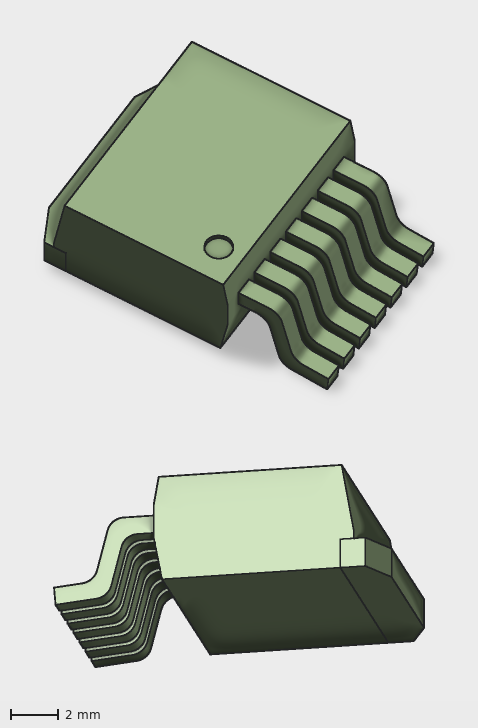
import cadquery as cq
import math


width = 10.17
overall_length = 14.38

tab_length = 1.87
tab_thickness = 1.27
tab_corner_length = 0.79
tab_corner_width = 1.65

housing_height = 4.57
housing_front_x = 1.28
housing_back_x = 9.91
front_slope_start_z = 1.55
back_wall_bottom_z = 1.9
back_wall_top_z = 3.34
front_draft = 0.53
back_top_draft = 0.22
back_bottom_draft = 0.36

mark_x = 8.48
mark_y = -3.5
mark_diameter = 1.22
mark_depth = 0.2

lead_count = 7
lead_pitch = 1.27
lead_width = 0.83
lead_thickness = 0.78
lead_top_z = 3.16
lead_bend_x = 11.94
lead_bend_radius = 0.72
shank_angle = math.radians(75.5)
foot_angle = math.radians(5)
foot_tip_z = 0.25


def make_tab():
    """Flat tab with its two outer corners cut off."""
    half_width = width / 2
    half_end = half_width - tab_corner_width
    outline = [
        (tab_length, -half_width),
        (tab_length, half_width),
        (tab_corner_length, half_width),
        (0, half_end),
        (0, -half_end),
        (tab_corner_length, -half_width),
    ]
    return cq.Workplane("XY").polyline(outline).close().extrude(tab_thickness)


def make_housing_block():
    """Drafted block, notched along its front lower edge for the tab."""
    outline = [
        (tab_length, 0),
        (housing_back_x - back_bottom_draft, 0),
        (housing_back_x, back_wall_bottom_z),
        (housing_back_x, back_wall_top_z),
        (housing_back_x - back_top_draft, housing_height),
        (housing_front_x + front_draft, housing_height),
        (housing_front_x, front_slope_start_z),
        (housing_front_x, tab_thickness),
        (tab_length, tab_thickness),
    ]
    return cq.Workplane("XZ").polyline(outline).close().extrude(width / 2, both=True)


def make_mark():
    """Cylinder to be cut from the housing top."""
    return (
        cq.Workplane("XY", origin=(mark_x, mark_y, housing_height))
        .circle(mark_diameter / 2)
        .extrude(-mark_depth)
    )


def make_lead(y):
    """Gull-wing lead of even thickness, centred at the given Y."""
    foot_line_z = foot_tip_z + (overall_length - lead_bend_x) * math.tan(foot_angle)
    foot_run = (lead_top_z - foot_line_z) / (math.tan(shank_angle) - math.tan(foot_angle))
    upper_bend = (lead_bend_x, lead_top_z)
    upper_foot_bend = (lead_bend_x + foot_run, lead_top_z - foot_run * math.tan(shank_angle))

    bend_shift = lead_thickness * math.tan(shank_angle / 2)
    lower_bend = (lead_bend_x - bend_shift, lead_top_z - lead_thickness)
    foot_bisector = (shank_angle + foot_angle) / 2
    foot_miter = lead_thickness / math.cos((shank_angle - foot_angle) / 2)
    lower_foot_bend = (
        upper_foot_bend[0] - foot_miter * math.sin(foot_bisector),
        upper_foot_bend[1] - foot_miter * math.cos(foot_bisector),
    )
    upper_tip = (overall_length, foot_tip_z)
    lower_tip = (
        overall_length - lead_thickness * math.sin(foot_angle),
        foot_tip_z - lead_thickness * math.cos(foot_angle),
    )

    outline = [
        (housing_back_x, lead_top_z),
        upper_bend,
        upper_foot_bend,
        upper_tip,
        lower_tip,
        lower_foot_bend,
        lower_bend,
        (housing_back_x, lead_top_z - lead_thickness),
    ]
    lead = (
        cq.Workplane("XZ", origin=(0, y, 0))
        .polyline(outline)
        .close()
        .extrude(lead_width / 2, both=True)
    )
    for x, z in (upper_bend, upper_foot_bend, lower_foot_bend, lower_bend):
        bend_edge = cq.selectors.NearestToPointSelector((x, y, z))
        lead = lead.edges(bend_edge).fillet(lead_bend_radius)
    return lead


def make_housing():
    """Housing block with its mark and the row of leads, one solid."""
    housing = make_housing_block().cut(make_mark())
    for index in range(lead_count):
        y = (index - (lead_count - 1) / 2) * lead_pitch
        housing = housing.union(make_lead(y))
    return housing


tab = make_tab()
housing = make_housing()

result = cq.Compound.makeCompound([tab.val(), *housing.vals()])